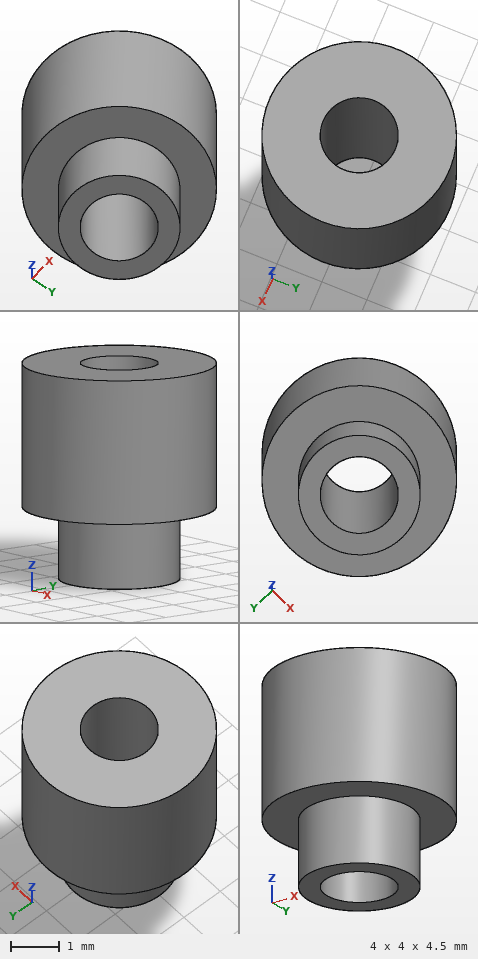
import cadquery as cq

total_height = 4.5
head_diameter = 4.0
spigot_diameter = 2.5
bore_diameter = 1.6

spigot_height = total_height / 3
head_height = total_height - spigot_height

spigot = cq.Workplane("XY").circle(spigot_diameter / 2).extrude(spigot_height)

head = (
    cq.Workplane("XY")
    .workplane(offset=spigot_height)
    .circle(head_diameter / 2)
    .extrude(head_height)
)

bore = cq.Workplane("XY").circle(bore_diameter / 2).extrude(total_height)

result = spigot.union(head).cut(bore)